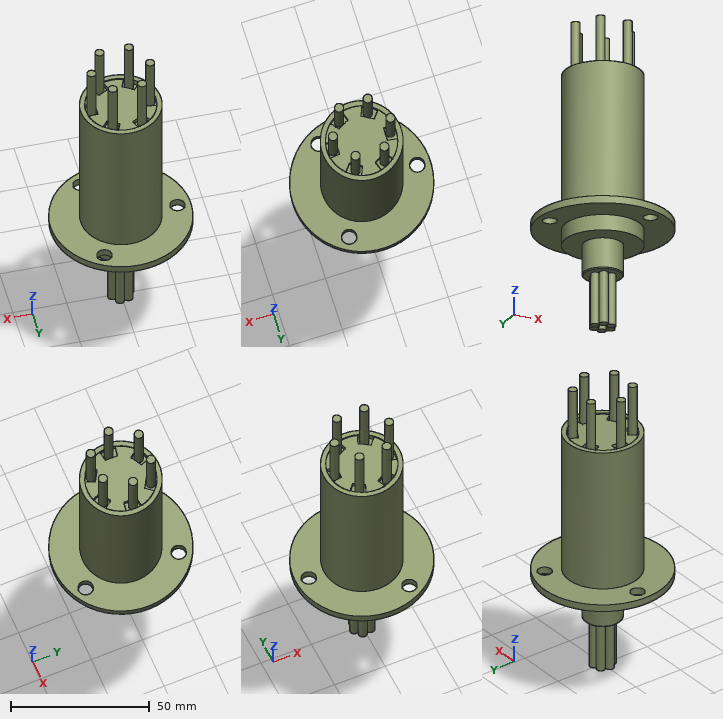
import cadquery as cq
import math

body_radius = 14.9
body_length = 66.0
flange_radius = 26.0
flange_thickness = 2.8
flange_bottom = 6.0

mount_hole_count = 3
mount_hole_diameter = 5.5
mount_circle_radius = 21.0
mount_first_angle = 60.0

hub_radius = 7.5
hub_length = 11.8
hub_chamfer = 0.4

recess_radius = 13.0
recess_depth = 0.5
slot_depth = 1.5
slot_inner_distance = 9.0
slot_inner_width = 4.8
slot_outer_width = 6.0
slot_first_angle = -1.0

wire_count = 6
wire_radius = 1.65
top_wire_circle_radius = 10.9
top_wire_length = 18.7
top_wire_first_angle = 0.8
bundle_circle_radius = 3.4
bundle_length = 20.0
bundle_first_angle = 11.0

embed = 1.0


def polar_points(radius, count, first_angle):
    """Evenly spaced points on a circle about the Z axis."""
    angles = [math.radians(first_angle + i * 360.0 / count) for i in range(count)]
    return [(radius * math.cos(a), radius * math.sin(a)) for a in angles]


def cylinder(radius, bottom, height):
    return cq.Workplane("XY").workplane(offset=bottom).circle(radius).extrude(height)


def make_housing():
    body = cylinder(body_radius, 0, body_length)
    flange = cylinder(flange_radius, flange_bottom, flange_thickness)
    hub = cylinder(hub_radius, -hub_length, hub_length + embed)
    hub = hub.faces("<Z").edges().chamfer(hub_chamfer)
    return body.union(flange).union(hub)


def make_mount_holes():
    centers = polar_points(mount_circle_radius, mount_hole_count, mount_first_angle)
    plane = cq.Workplane("XY").workplane(offset=flange_bottom)
    return plane.pushPoints(centers).circle(mount_hole_diameter / 2).extrude(flange_thickness)


def make_slots():
    """Flared slots, open outward and trimmed to the recess circle."""
    floor = body_length - recess_depth - slot_depth
    trim = cylinder(recess_radius, floor, slot_depth + recess_depth)
    outline = [
        (slot_inner_distance, -slot_inner_width / 2),
        (recess_radius, -slot_outer_width / 2),
        (recess_radius, slot_outer_width / 2),
        (slot_inner_distance, slot_inner_width / 2),
    ]
    slot = cq.Workplane("XY").workplane(offset=floor).polyline(outline).close()
    slot = slot.extrude(slot_depth + recess_depth).intersect(trim)
    slots = cq.Workplane("XY")
    for i in range(wire_count):
        angle = slot_first_angle + i * 360.0 / wire_count
        slots = slots.add(slot.rotate((0, 0, 0), (0, 0, 1), angle))
    return slots.combine()


def make_wires(circle_radius, first_angle, bottom, height):
    centers = polar_points(circle_radius, wire_count, first_angle)
    plane = cq.Workplane("XY").workplane(offset=bottom)
    return plane.pushPoints(centers).circle(wire_radius).extrude(height)


recess = cylinder(recess_radius, body_length - recess_depth, recess_depth)

top_wire_bottom = body_length - recess_depth - slot_depth - embed
top_wire_height = body_length + top_wire_length - top_wire_bottom
top_wires = make_wires(top_wire_circle_radius, top_wire_first_angle, top_wire_bottom, top_wire_height)

bundle_bottom = -hub_length - bundle_length
bundle = make_wires(bundle_circle_radius, bundle_first_angle, bundle_bottom, bundle_length + embed)

result = make_housing().cut(make_mount_holes()).cut(recess).cut(make_slots())
result = result.union(top_wires).union(bundle)